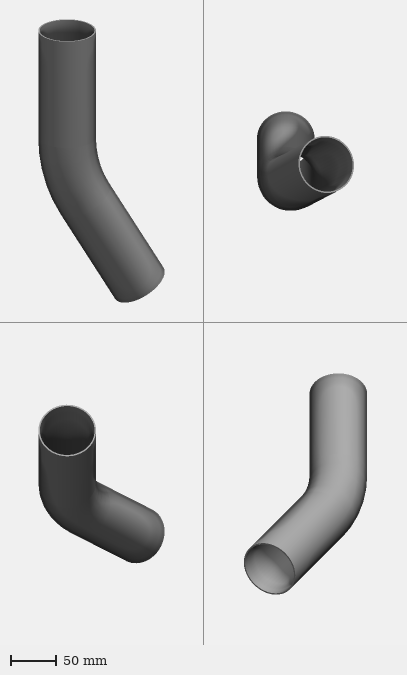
import cadquery as cq
import math

outer_diameter = 63.5
inner_diameter = 60.2
leg_length = 127.0
bend_radius = 152.5
bend_angle = 30


def bend_point(angle_degrees):
    """Centreline point (y, z) after turning from vertical towards +Y."""
    angle = math.radians(angle_degrees)
    return (bend_radius * (1 - math.cos(angle)), -bend_radius * math.sin(angle))


bend_end_y, bend_end_z = bend_point(bend_angle)
lower_end = (
    bend_end_y + leg_length * math.sin(math.radians(bend_angle)),
    bend_end_z - leg_length * math.cos(math.radians(bend_angle)),
)
centreline = (
    cq.Workplane("YZ")
    .moveTo(0, leg_length)
    .lineTo(0, 0)
    .threePointArc(bend_point(bend_angle / 2), (bend_end_y, bend_end_z))
    .lineTo(*lower_end)
)

result = (
    cq.Workplane("XY", origin=(0, 0, leg_length))
    .circle(outer_diameter / 2)
    .circle(inner_diameter / 2)
    .sweep(centreline)
)